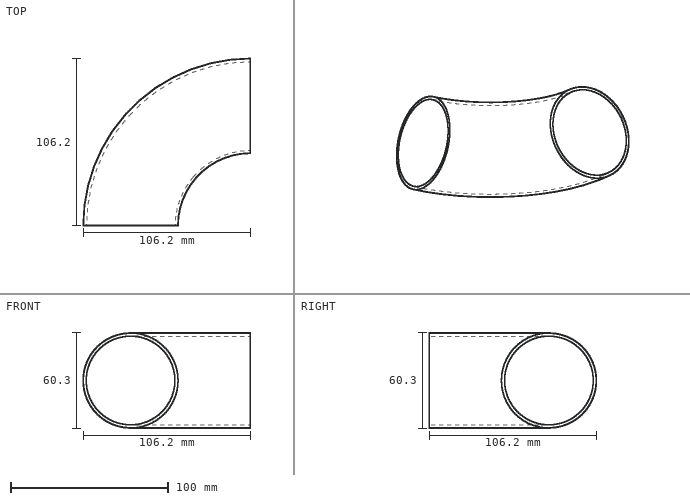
import cadquery as cq

outer_diameter = 60.3
wall_thickness = 2.0
bend_radius = 76.0
bend_angle = 90.0

outer_radius = outer_diameter / 2
inner_radius = outer_radius - wall_thickness


def make_elbow():
    """Turn the pipe's ring section about the vertical line through the bend centre.

    The bend centre is the origin. One open end faces -Y at X = -bend_radius,
    the other faces +X at Y = bend_radius.
    """
    ring = (
        cq.Workplane("XZ")
        .center(-bend_radius, 0)
        .circle(outer_radius)
        .circle(inner_radius)
    )
    axis_start = (bend_radius, 0)
    axis_end = (bend_radius, -1)
    return ring.revolve(bend_angle, axis_start, axis_end)


result = make_elbow()